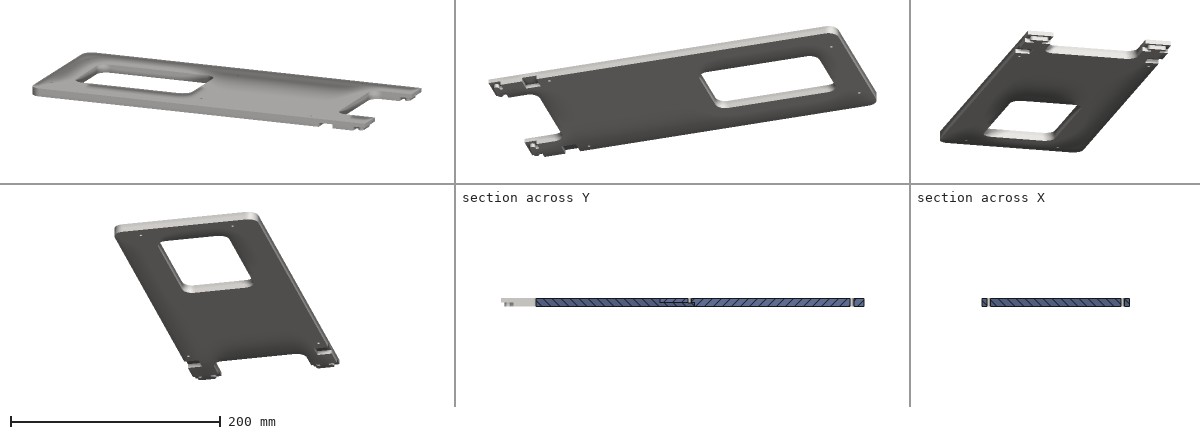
import cadquery as cq

length = 346.5
width = 141.0
thickness = 8.0
corner_radius = 10.0
hole_diameter = 2.9

lap_start = 162.0
lap_end = 195.5
lap_height = thickness / 2

window_length = 120.0
window_width = 70.0
window_start = 29.8
window_hole_columns = (11.8, 166.5)
window_hole_offset = 45.0

cutout_start = 306.0
cutout_width = 90.8
fork_hole_x = 287.5
fork_hole_offset = 63.8

overhang_start = 334.5

pocket_start = 298.5
pocket_end = 313.2
pocket_depth = 14.0

crossbar_width = 5.5
crossbar_length = 18.0
crossbar_x = 340.2
stem_width = 8.3

arm_center_y = (width + cutout_width) / 4


def block(x_start, x_end, y_size, z_start, z_end, y_center=0.0):
    """Box between two X and two Z positions, centred on y_center."""
    return (
        cq.Workplane("XY", origin=((x_start + x_end) / 2, y_center, z_start))
        .rect(x_end - x_start, y_size)
        .extrude(z_end - z_start)
    )


def screw_holes(points):
    """Cutters for screw holes right through the plates."""
    return cq.Workplane("XY").pushPoints(points).circle(hole_diameter / 2).extrude(thickness)


def make_window_plate():
    plate = block(0, lap_end, width, 0, thickness)
    plate = plate.edges("|Z and <X").fillet(corner_radius)
    plate = plate.cut(block(lap_start, lap_end, width, 0, lap_height))
    window = block(window_start, window_start + window_length, window_width, 0, thickness)
    plate = plate.cut(window.edges("|Z").fillet(corner_radius))
    points = [(x, side * window_hole_offset) for x in window_hole_columns for side in (-1, 1)]
    return plate.cut(screw_holes(points))


def arm_key(y_center):
    """Lower-half key joined to the arm's step by its stem, with the crossbar along Y."""
    crossbar = (
        cq.Workplane("XY", origin=(crossbar_x, y_center, 0))
        .slot2D(crossbar_length, crossbar_width, 90)
        .extrude(lap_height)
    )
    return crossbar.union(block(overhang_start, crossbar_x, stem_width, 0, lap_height, y_center))


def make_fork_plate():
    plate = block(lap_start, length, width, 0, thickness)
    plate = plate.cut(block(lap_start, lap_end, width, lap_height, thickness))
    cutout = block(cutout_start, length, cutout_width, 0, thickness)
    plate = plate.cut(cutout.edges("|Z and <X").fillet(corner_radius))
    plate = plate.cut(block(overhang_start, length, width, 0, lap_height))
    for side in (-1, 1):
        pocket = block(pocket_start, pocket_end, 2 * pocket_depth, 0, lap_height, side * width / 2)
        plate = plate.cut(pocket)
        plate = plate.union(arm_key(side * arm_center_y))
    return plate.cut(screw_holes([(fork_hole_x, side * fork_hole_offset) for side in (-1, 1)]))


window_plate = make_window_plate()
fork_plate = make_fork_plate()

result = cq.Compound.makeCompound([window_plate.val(), fork_plate.val()])